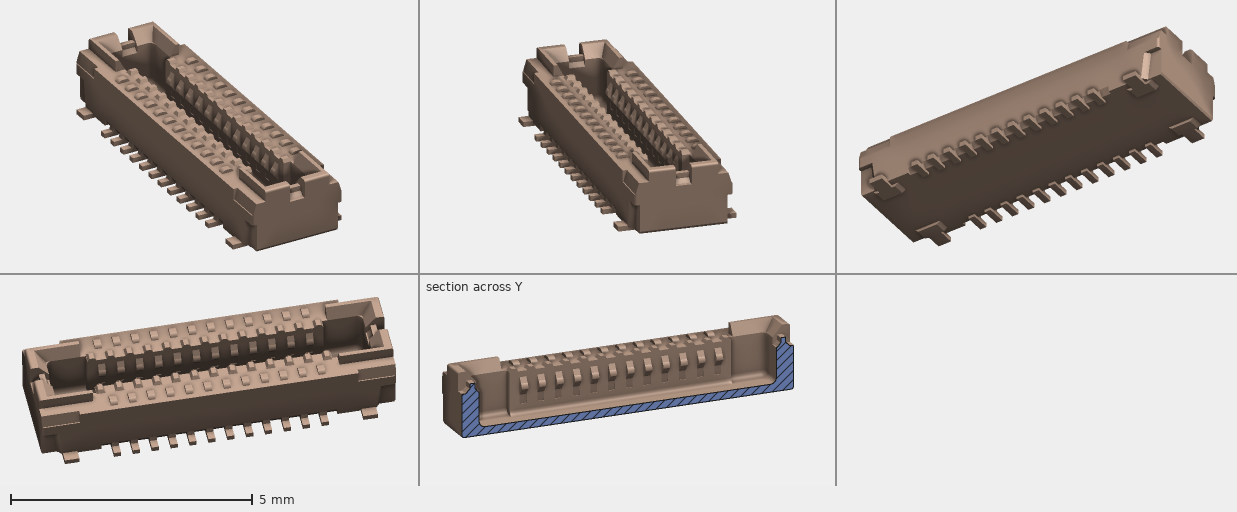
import cadquery as cq
import math

LENGTH = 7.5
WIDTH = 2.15
SPAN = 2.58
HEIGHT = 1.45
DECK_Z = 1.2
STANDOFF = 0.065
HALF_L = LENGTH / 2
HALF_W = WIDTH / 2

WALL_LENGTH = 1.14
WALL_HALF_W = 0.757
WALL_TOP_ROUND = 0.055
LEAD_IN_X = 0.22
LEAD_IN_Y = 0.135

POCKET_HALF_L = 3.35
POCKET_HALF_W = 0.535
POCKET_FLOOR_Z = 0.25
POCKET_ROUND = 0.125
RIB_HALF_L = 2.5
RIB_HALF_GAP = 0.373
RIB_ROUND = 0.11

NOTCH_HALF_W = 0.175
NOTCH_FLOOR_Z = 1.04
BAR_TOP_Z = 1.245
BAR_FOOT_Z = 1.13
BAR_OUTER_X = 3.57
BAR_INNER_X = 3.45
BAR_SLOPE = 0.09
SILL_X = 3.375
SILL_Z = 1.04

CORNER_BEVEL_LENGTH = 0.8
CORNER_BEVEL_Y = 0.1
CORNER_BEVEL_INSET = 0.02
CORNER_BEVEL_Z = 0.25
CORNER_ROUND = 0.055
RECESS_TOP_Z = 0.71
RECESS_DEPTH = 0.115
RECESS_TOP_X = 0.36
RECESS_BOTTOM_X = 0.44
RECESS_WALL = 0.1
BASE_BEVEL_X = 0.025
BASE_BEVEL_Z = 0.05

FOOT_BEVEL_HALF_L = 2.5
FOOT_BEVEL_Y = 0.09
FOOT_BEVEL_Z = 0.14

CONTACT_COUNT = 12
PITCH = 0.4
CONTACT_W = 0.15
FOOT_T = 0.11
FOOT_INNER_Y = 0.85
FOOT_HEEL_Y = 1.095
FOOT_HEEL_RUN = 0.03
FOOT_HEEL_RISE = 0.1
CREST_Z = 1.27
CREST_OUTER_Y = 0.96
CREST_INNER_Y = 0.69
CREST_RUN = 0.09
CREST_BULGE = 0.14
SLOT_BACK_Y = 0.46
SLOT_BOTTOM_Z = 0.48
NOSE_TOP_Z = 1.07
NOSE_KNEE_Y = 0.305
NOSE_KNEE_Z = 0.95
NOSE_TIP_Y = 0.26
NOSE_TIP_Z = 0.83
NOSE_SAG = 0.015
NOSE_ROOT_Y = 0.375
NOSE_ROOT_Z = 0.68
LEG_BOTTOM_Y = 0.39

PAD_OUTER_Y = 0.575
PAD_W = 0.19
PAD_SLOPE = 0.045

TAB_X = 3.16
TAB_W = 0.31
TAB_BASE_W = 0.62
TAB_FLAT_W = 0.46
TAB_INNER_Y = 0.64
TAB_BASE_OUTER_Y = 0.92

contact_xs = [PITCH * (i - (CONTACT_COUNT - 1) / 2) for i in range(CONTACT_COUNT)]
pad_xs = [PITCH * (i - CONTACT_COUNT / 2) for i in range(CONTACT_COUNT + 1)]


def box(x0, x1, y0, y1, z0, z1):
    """Box between two opposite corners."""
    return cq.Workplane("XY").box(x1 - x0, y1 - y0, z1 - z0, centered=False).translate((x0, y0, z0))


def mirrored_x(shape):
    return shape.union(shape.mirror("YZ"))


def mirrored_y(shape):
    return shape.union(shape.mirror("XZ"))


def four_corners(shape):
    return mirrored_y(mirrored_x(shape))


def across_x(profile, length):
    """Extrude a closed YZ profile along X, centred on X = 0."""
    return profile.extrude(length / 2, both=True)


def both_rows(pieces, xs):
    """Copies of the +Y pieces at every X position, as one compound for each long side."""
    copies = [piece.translate((x, 0, 0)).val() for x in xs for piece in pieces]
    row = cq.Workplane(obj=cq.Compound.makeCompound(copies))
    return [row, row.mirror("XZ")]


def housing_block():
    """Body with the bevel along the bottom edge of its ends and raised walls at both ends."""
    body = box(-HALF_L, HALF_L, -HALF_W, HALF_W, STANDOFF, DECK_Z)
    body = body.edges("|Z").fillet(CORNER_ROUND)
    wall = box(-HALF_L, WALL_LENGTH - HALF_L, -WALL_HALF_W, WALL_HALF_W, STANDOFF, HEIGHT)
    wall = wall.edges("<X and >Z").fillet(WALL_TOP_ROUND)
    base_bevel = (
        cq.Workplane("XZ")
        .moveTo(-HALF_L, STANDOFF)
        .lineTo(-HALF_L + BASE_BEVEL_X, STANDOFF)
        .lineTo(-HALF_L, STANDOFF + BASE_BEVEL_Z)
        .close()
        .extrude(HALF_W, both=True)
    )
    return body.union(mirrored_x(wall)).cut(mirrored_x(base_bevel))


def corner_cuts():
    """Top bevel and lower side recess at the four outer corners."""
    bevel = (
        cq.Workplane("YZ")
        .moveTo(-HALF_W, DECK_Z)
        .lineTo(-HALF_W + CORNER_BEVEL_Y, DECK_Z)
        .lineTo(-HALF_W + CORNER_BEVEL_INSET, DECK_Z - CORNER_BEVEL_Z)
        .lineTo(-HALF_W, DECK_Z - CORNER_BEVEL_Z)
        .close()
        .extrude(CORNER_BEVEL_LENGTH)
        .translate((-HALF_L, 0, 0))
    )

    def recess_outline(plane, shift):
        return (
            plane.moveTo(-HALF_L, STANDOFF)
            .lineTo(-HALF_L + RECESS_BOTTOM_X - shift, STANDOFF)
            .lineTo(-HALF_L + RECESS_TOP_X - shift, RECESS_TOP_Z)
            .lineTo(-HALF_L, RECESS_TOP_Z)
            .close()
        )

    outline = recess_outline(cq.Workplane("XZ", origin=(0, -HALF_W, 0)), 0)
    inner_plane = outline.workplane(offset=-RECESS_DEPTH)
    recess = recess_outline(inner_plane, RECESS_WALL).loft(ruled=True)
    return four_corners(bevel.union(recess))


def foot_bevels():
    """Sloping relief under both long sides."""
    relief = across_x(
        cq.Workplane("YZ")
        .moveTo(-HALF_W, STANDOFF)
        .lineTo(-HALF_W + FOOT_BEVEL_Y, STANDOFF)
        .lineTo(-HALF_W, STANDOFF + FOOT_BEVEL_Z)
        .close(),
        2 * FOOT_BEVEL_HALF_L,
    )
    return mirrored_y(relief)


def mating_pocket():
    """Rounded pocket, narrowed by the ribs, with a sloped lead-in inside the end walls."""
    def well(x0, x1, half_w):
        return box(x0, x1, -half_w, half_w, POCKET_FLOOR_Z, DECK_Z)

    end = well(-POCKET_HALF_L, -RIB_HALF_L, POCKET_HALF_W)
    end = end.edges("<X and |Z").fillet(POCKET_ROUND)
    end = end.faces("<Z").edges("not >X").fillet(POCKET_ROUND)
    middle = well(-RIB_HALF_L, RIB_HALF_L, RIB_HALF_GAP)
    middle = middle.edges("|X and <Z").fillet(RIB_ROUND)
    pocket = middle.union(mirrored_x(end))

    lead_in = (
        cq.Workplane("XY", origin=(0, 0, DECK_Z))
        .rect(2 * POCKET_HALF_L, 2 * POCKET_HALF_W)
        .workplane(offset=HEIGHT - DECK_Z)
        .rect(2 * (POCKET_HALF_L + LEAD_IN_X), 2 * (POCKET_HALF_W + LEAD_IN_Y))
        .loft(ruled=True)
    )
    return pocket.union(lead_in)


def end_notches():
    """Cutter for the notch in each end wall; it leaves the crossbar standing."""
    profile = (
        cq.Workplane("XZ")
        .moveTo(-HALF_L, HEIGHT)
        .lineTo(-HALF_L, NOTCH_FLOOR_Z)
        .lineTo(-BAR_OUTER_X - BAR_SLOPE, NOTCH_FLOOR_Z)
        .lineTo(-BAR_OUTER_X, BAR_FOOT_Z)
        .lineTo(-BAR_OUTER_X, BAR_TOP_Z)
        .lineTo(-BAR_INNER_X, BAR_TOP_Z)
        .lineTo(-BAR_INNER_X, BAR_FOOT_Z)
        .lineTo(-SILL_X, SILL_Z)
        .lineTo(-POCKET_HALF_L, SILL_Z)
        .lineTo(-POCKET_HALF_L, HEIGHT)
        .close()
    )
    return mirrored_x(profile.extrude(NOTCH_HALF_W, both=True))


def solder_foot():
    """Foot with a steep heel rising into the housing, on the +Y side."""
    return across_x(
        cq.Workplane("YZ")
        .moveTo(FOOT_INNER_Y, 0)
        .lineTo(SPAN / 2, 0)
        .lineTo(SPAN / 2, FOOT_T)
        .lineTo(FOOT_HEEL_Y, FOOT_T)
        .lineTo(FOOT_HEEL_Y - FOOT_HEEL_RUN, FOOT_T + FOOT_HEEL_RISE)
        .lineTo(FOOT_INNER_Y, FOOT_T + FOOT_HEEL_RISE)
        .close(),
        CONTACT_W,
    )


def contact_crest():
    """Round-shouldered top of the contact, standing above the deck."""
    rise = CREST_Z - DECK_Z
    bulge = CREST_BULGE * math.hypot(CREST_RUN, rise)
    return across_x(
        cq.Workplane("YZ")
        .moveTo(CREST_INNER_Y, DECK_Z - rise)
        .lineTo(CREST_OUTER_Y, DECK_Z - rise)
        .lineTo(CREST_OUTER_Y, DECK_Z)
        .sagittaArc((CREST_OUTER_Y - CREST_RUN, CREST_Z), -bulge)
        .lineTo(CREST_INNER_Y + CREST_RUN, CREST_Z)
        .sagittaArc((CREST_INNER_Y, DECK_Z), -bulge)
        .close(),
        CONTACT_W,
    )


def contact_nose():
    """Spring nose that bulges out of the slot into the pocket."""
    return across_x(
        cq.Workplane("YZ")
        .moveTo(SLOT_BACK_Y, NOSE_TOP_Z)
        .lineTo(RIB_HALF_GAP, NOSE_TOP_Z)
        .lineTo(NOSE_KNEE_Y, NOSE_KNEE_Z)
        .sagittaArc((NOSE_TIP_Y, NOSE_TIP_Z), -NOSE_SAG)
        .lineTo(NOSE_ROOT_Y, NOSE_ROOT_Z)
        .lineTo(LEG_BOTTOM_Y, SLOT_BOTTOM_Z)
        .lineTo(SLOT_BACK_Y, SLOT_BOTTOM_Z)
        .close(),
        CONTACT_W,
    )


def contact_slots():
    """Cutters for the slots in both ribs."""
    slot = box(-CONTACT_W / 2, CONTACT_W / 2, NOSE_TIP_Y, SLOT_BACK_Y, SLOT_BOTTOM_Z, NOSE_TOP_Z)
    return both_rows([slot], contact_xs)


def contacts():
    """Both rows of contacts; each contact shows a foot, a crest and a nose outside the housing."""
    return both_rows([solder_foot(), contact_crest(), contact_nose()], contact_xs)


def pads():
    """Raised pads between the contacts, sloped on three sides and flush with the rib face."""
    slope_run = 2 * PAD_SLOPE
    pad_depth = PAD_OUTER_Y - RIB_HALF_GAP
    pad = (
        cq.Workplane("XY", origin=(0, RIB_HALF_GAP, DECK_Z))
        .rect(PAD_W, 2 * pad_depth)
        .workplane(offset=CREST_Z - DECK_Z)
        .rect(PAD_W - slope_run, 2 * pad_depth - slope_run)
        .loft(ruled=True)
        .intersect(box(-PAD_W, PAD_W, RIB_HALF_GAP, PAD_OUTER_Y, DECK_Z, CREST_Z))
    )
    return both_rows([pad], pad_xs)


def hold_down_tabs():
    """Corner tabs, each on a bevelled base under the housing."""
    tab = box(-TAB_X - TAB_W / 2, -TAB_X + TAB_W / 2, TAB_INNER_Y, SPAN / 2, 0, FOOT_T)
    base = (
        cq.Workplane("XZ")
        .moveTo(-TAB_X - TAB_FLAT_W / 2, 0)
        .lineTo(-TAB_X + TAB_FLAT_W / 2, 0)
        .lineTo(-TAB_X + TAB_BASE_W / 2, STANDOFF)
        .lineTo(-TAB_X - TAB_BASE_W / 2, STANDOFF)
        .close()
        .extrude(TAB_INNER_Y - TAB_BASE_OUTER_Y)
        .translate((0, TAB_INNER_Y, 0))
    )
    return four_corners(tab.union(base))


housing = housing_block().cut(corner_cuts()).cut(foot_bevels()).cut(mating_pocket()).cut(end_notches())
for slot_row in contact_slots():
    housing = housing.cut(slot_row)

result = housing.union(hold_down_tabs())
for row in contacts() + pads():
    result = result.union(row)